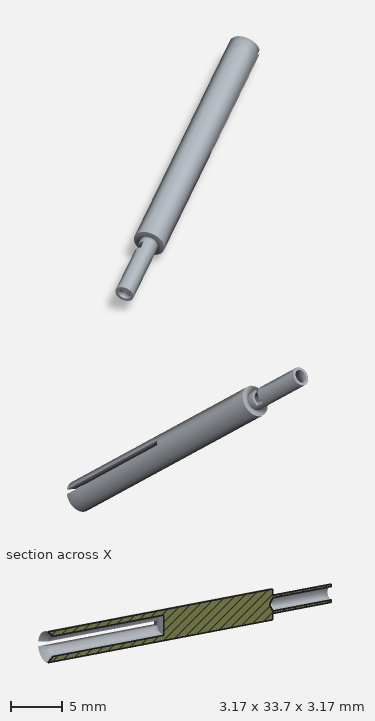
import cadquery as cq
import math

total_length = 33.66
body_diameter = 3.175
stem_diameter = 1.9
stem_length = 6.91

bore_diameter = 1.3
bore_depth = stem_length
drill_tip_angle = 118.0

notch_width = 0.8
notch_to_shoulder = 0.7
notch_floor_x = -0.3

slot_width = 0.5
slot_length = 13.75

socket_diameter = 2.0
socket_depth = slot_length
countersink_angle = 82.0

stem_end_y = 0.0
shoulder_y = stem_end_y + stem_length
body_end_y = stem_end_y + total_length


def rod(diameter, start_y, end_y):
    """Cylinder along Y from start_y to end_y."""
    start_plane = cq.Workplane("XZ", origin=(0, start_y, 0))
    return start_plane.circle(diameter / 2).extrude(start_y - end_y)


def turned(profile_points):
    """Solid of revolution about Y from a closed half-section of (radius, y) points."""
    return cq.Workplane("XY").polyline(profile_points).close().revolve(360, (0, 0, 0), (0, 1, 0))


def cone_length(radial_step, included_angle):
    """Axial length of a cone that changes radius by radial_step."""
    return radial_step / math.tan(math.radians(included_angle / 2))


def drilled_bore():
    """Cylindrical bore from the stem end with a conical bottom."""
    radius = bore_diameter / 2
    bottom_y = stem_end_y + bore_depth
    tip_y = bottom_y + cone_length(radius, drill_tip_angle)
    return turned([(0, stem_end_y), (radius, stem_end_y), (radius, bottom_y), (0, tip_y)])


def contact_socket():
    """Flat-bottomed bore from the body end, countersunk out to the rim."""
    radius = socket_diameter / 2
    rim_radius = body_diameter / 2
    bottom_y = body_end_y - socket_depth
    countersink_y = body_end_y - cone_length(rim_radius - radius, countersink_angle)
    return turned(
        [
            (0, bottom_y),
            (radius, bottom_y),
            (radius, countersink_y),
            (rim_radius, body_end_y),
            (0, body_end_y),
        ]
    )


def inspection_notch():
    """Flat-bottomed notch that opens the bore on the -X side."""
    outer_x = -body_diameter / 2
    start_y = shoulder_y - notch_to_shoulder - notch_width
    depth = notch_floor_x - outer_x
    block = cq.Workplane("XY").box(depth, notch_width, body_diameter, centered=(False, False, True))
    return block.translate((outer_x, start_y, 0))


def end_slot():
    """Slot through the body along X, open at the body end."""
    block = cq.Workplane("XY").box(body_diameter, slot_length, slot_width, centered=(True, False, True))
    return block.translate((0, body_end_y - slot_length, 0))


body = rod(body_diameter, shoulder_y, body_end_y)
stem = rod(stem_diameter, stem_end_y, shoulder_y)

pin = body.union(stem)
pin = pin.cut(drilled_bore()).cut(inspection_notch())
result = pin.cut(contact_socket()).cut(end_slot())